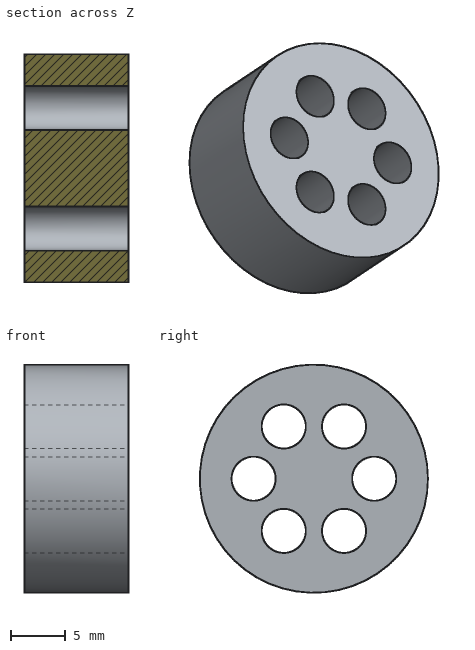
import cadquery as cq

disc_diameter = 20.8
disc_thickness = 9.5

hole_count = 6
hole_diameter = 4.0
hole_circle_radius = 5.5

disc = cq.Workplane("YZ").circle(disc_diameter / 2).extrude(disc_thickness)

holes = (
    cq.Workplane("YZ")
    .polarArray(hole_circle_radius, 0, 360, hole_count)
    .circle(hole_diameter / 2)
    .extrude(disc_thickness)
)

result = disc.cut(holes)